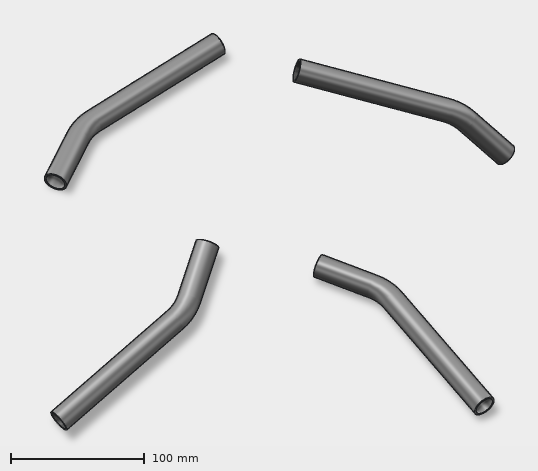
import cadquery as cq
import math

overall_length = 180.1
outer_diameter = 18.0
inner_diameter = 15.0
bend_radius = 37.5
bend_angle = 30.0
short_leg_length = 45.0

outer_radius = outer_diameter / 2
sine = math.sin(math.radians(bend_angle))
cosine = math.cos(math.radians(bend_angle))

long_leg_length = (
    overall_length - bend_radius * sine - short_leg_length * cosine - outer_radius * sine
)


def bent_rod(diameter):
    """Solid rod along the centerline: long leg toward -Y, bend toward +X, short leg."""
    half_angle = math.radians(bend_angle / 2)
    bend_start = (0, 0)
    bend_middle = (bend_radius * (1 - math.cos(half_angle)), -bend_radius * math.sin(half_angle))
    bend_end = (bend_radius * (1 - cosine), -bend_radius * sine)
    short_end = (bend_end[0] + short_leg_length * sine, bend_end[1] - short_leg_length * cosine)

    centerline = (
        cq.Workplane("XY")
        .moveTo(0, long_leg_length)
        .lineTo(*bend_start)
        .threePointArc(bend_middle, bend_end)
        .lineTo(*short_end)
    )
    section = cq.Workplane("XZ", origin=(0, long_leg_length, 0)).circle(diameter / 2)
    return section.sweep(centerline)


result = bent_rod(outer_diameter).cut(bent_rod(inner_diameter))